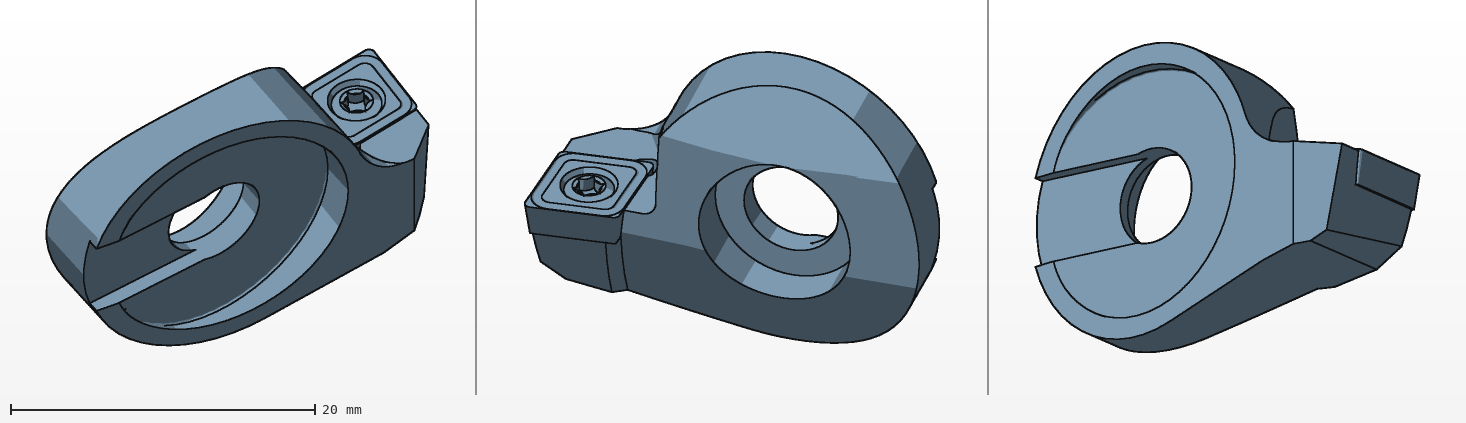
import cadquery as cq
import math

FAR = 40.28

ring_diameter = 20.0
ring_radius = ring_diameter / 2
front_curve_radius = 18.0
front_half_height = 13.42
counterbore_radius = 5.24
counterbore_floor_x = 3.55
bore_radius = 3.25
recess_radius = 8.57
recess_floor_x = 5.42
recess_fillet = 0.2
slot_width = 6.12
slot_floor_x = 4.38

back_x_at_axis = 6.65
back_angle = 8.8
holder_thickness = 8.38

blend_radius = 4.03
blend_floor_z = 0.5
arm_lower_corner = (14.45, -6.45)
arm_end_corner = (15.98, -5.0)

step_start_y = 10.65
nose_start_y = 11.46
nose_offset = 0.78
lead_angle = 5.0
clearance_angle = 7.0
end_face_point = (6.36, 16.05, 0.27)
corner_chamfer_y = 13.55

deck_tilt = 3.0
deck_cutter_radius = 11.12
deck_cutter_x = 0.1
deck_cutter_y = 19.33
deck_fillet = 0.95

insert_x = 1.83
insert_y = 13.4
insert_top_z = 0.21
inscribed_radius = 3.17
insert_thickness = 2.4
nose_angle = 80.0
nose_direction = 135.0
nose_radius = 0.4
land_width = 0.05
groove_width = 0.7
groove_depth = 0.15
groove_corner_radius = 0.97
relief_radius = 0.95
relief_x = 4.75
relief_y = 10.58
relief_rise = 1.35

hole_mouth_radius = 1.9
screw_top_depth = 0.08
head_radius = 1.66
head_rim_depth = 0.38
shank_radius = 1.24
head_cone_height = 0.8
screw_length = 5.37
socket_radius = 1.1
socket_depth = 0.95
socket_mouth_depth = 0.13
socket_mouth_floor_radius = 0.83
lobe_count = 6
lobe_inner_radius = 0.72


def place_on_seat(shape):
    """Move a shape from the insert frame (top centre at the origin) to its place on the arm."""
    tilted = shape.rotate((0, 0, 0), (0, 1, 0), -deck_tilt)
    return tilted.translate((insert_x, insert_y, insert_top_z))


def front_prism(start, end):
    """Solid behind the curved front, swept between two (X, Y) crest points."""
    sag = front_curve_radius - math.sqrt(front_curve_radius**2 - front_half_height**2)
    x, y = start
    profile = (
        cq.Workplane("XZ", origin=(0, y, 0))
        .moveTo(x + sag, front_half_height)
        .threePointArc((x, 0), (x + sag, -front_half_height))
        .lineTo(FAR, -front_half_height)
        .lineTo(FAR, front_half_height)
        .close()
    )
    face = cq.Face.makeFromWires(profile.val())
    sweep = cq.Vector(end[0] - x, end[1] - y, 0)
    return cq.Workplane(cq.Solid.extrudeLinear(face, sweep))


def curved_front():
    nose_run = ring_radius
    nose_end_x = -nose_offset - nose_run * math.tan(math.radians(lead_angle))
    crest = [
        (0, -2 * ring_radius),
        (0, step_start_y),
        (-nose_offset, nose_start_y),
        (nose_end_x, nose_start_y + nose_run),
    ]
    front = front_prism(crest[0], crest[1])
    for start, end in zip(crest[1:], crest[2:]):
        front = front.union(front_prism(start, end))
    return front


def side_outline():
    """Disc and arm outline in the YZ plane, extruded through the part."""
    blend_z = blend_floor_z + blend_radius
    blend_y = math.sqrt((ring_radius + blend_radius) ** 2 - blend_z**2)
    reach = ring_radius / (ring_radius + blend_radius)
    blend_start = (blend_y * reach, blend_z * reach)
    start_angle = math.pi + math.atan2(blend_z, blend_y)
    end_angle = 3 * math.pi / 2
    middle = (start_angle + end_angle) / 2
    blend_middle = (
        blend_y + blend_radius * math.cos(middle),
        blend_z + blend_radius * math.sin(middle),
    )
    corner_distance = math.hypot(*arm_lower_corner)
    tangent_angle = math.atan2(arm_lower_corner[1], arm_lower_corner[0]) - math.acos(
        ring_radius / corner_distance
    )
    tangent_point = (
        ring_radius * math.cos(tangent_angle),
        ring_radius * math.sin(tangent_angle),
    )
    return (
        cq.Workplane("YZ", origin=(-FAR / 2, 0, 0))
        .moveTo(*tangent_point)
        .threePointArc((-ring_radius, 0), blend_start)
        .threePointArc(blend_middle, (blend_y, blend_floor_z))
        .lineTo(FAR, blend_floor_z)
        .lineTo(FAR, arm_end_corner[1])
        .lineTo(*arm_end_corner)
        .lineTo(*arm_lower_corner)
        .close()
        .extrude(FAR)
    )


def plan_outline():
    """Limits of the part seen along Z: slanted back, flat +X side and chamfered corner."""
    back_slope = math.tan(math.radians(back_angle))
    slant_end_y = (holder_thickness - back_x_at_axis) / back_slope
    chamfer_slope = (end_face_point[1] - corner_chamfer_y) / (holder_thickness - end_face_point[0])
    return (
        cq.Workplane("XY", origin=(0, 0, -FAR / 2))
        .moveTo(-FAR, -FAR)
        .lineTo(back_x_at_axis - FAR * back_slope, -FAR)
        .lineTo(holder_thickness, slant_end_y)
        .lineTo(holder_thickness, corner_chamfer_y)
        .lineTo(holder_thickness - FAR, corner_chamfer_y + FAR * chamfer_slope)
        .lineTo(-FAR, FAR)
        .close()
        .extrude(FAR)
    )


def end_face_cutter():
    """Block beyond the end face, which follows the lead and clearance angles."""
    return (
        cq.Workplane("XY")
        .box(FAR, FAR, FAR, centered=(True, False, True))
        .rotate((0, 0, 0), (1, 0, 0), -clearance_angle)
        .rotate((0, 0, 0), (0, 0, 1), -lead_angle)
        .translate(end_face_point)
    )


def deck_cutter():
    """Round cutter with a filleted rim that leaves the deck and the wall behind it."""
    return (
        cq.Workplane("XY")
        .circle(deck_cutter_radius)
        .extrude(FAR)
        .faces("<Z")
        .edges()
        .fillet(deck_fillet)
        .rotate((0, 0, 0), (0, 1, 0), -deck_tilt)
        .translate((deck_cutter_x, deck_cutter_y, 0))
    )


def back_recess():
    return (
        cq.Workplane("YZ", origin=(recess_floor_x, 0, 0))
        .circle(recess_radius)
        .extrude(FAR)
        .faces("<X")
        .edges()
        .fillet(recess_fillet)
    )


def make_holder():
    holder = curved_front().intersect(side_outline()).intersect(plan_outline())
    holder = holder.cut(end_face_cutter()).cut(deck_cutter())

    bore = cq.Workplane("YZ").circle(bore_radius).extrude(FAR)
    counterbore = cq.Workplane("YZ").circle(counterbore_radius).extrude(counterbore_floor_x)
    slot = cq.Workplane("XY").box(FAR, FAR, slot_width, centered=(False, False, True))
    slot = slot.translate((slot_floor_x, -FAR, 0))
    holder = holder.cut(bore).cut(counterbore).cut(back_recess()).cut(slot)

    pocket = insert_blank().union(corner_relief())
    return holder.cut(place_on_seat(pocket)).cut(place_on_seat(screw_blank()))


def rhombus(inset, z, corner_radius):
    """Wire of a rounded rhombus, moved inwards by inset, with an acute corner at -X +Y."""
    half_angle = math.radians(nose_angle / 2)
    radius = inscribed_radius - inset
    acute = radius / math.sin(half_angle)
    obtuse = radius / math.cos(half_angle)
    corners = [(acute, 0), (0, obtuse), (-acute, 0), (0, -obtuse)]
    return (
        cq.Workplane("XY", origin=(0, 0, z))
        .polyline(corners)
        .close()
        .extrude(0.27)
        .edges("|Z")
        .fillet(corner_radius)
        .faces("<Z")
        .wires()
        .val()
        .rotate(cq.Vector(0, 0, 0), cq.Vector(0, 0, 1), nose_direction)
    )


def insert_blank():
    """Rhombic plate whose flanks and corners all lean inwards by the clearance angle."""
    taper = insert_thickness * math.tan(math.radians(clearance_angle))
    bottom = rhombus(taper, -insert_thickness, nose_radius - taper)
    top = rhombus(0, 0, nose_radius)
    return cq.Workplane(cq.Solid.makeLoft([bottom, top], True))


def corner_relief():
    """Round relief in the pocket corner, around the inner corner of the insert."""
    return (
        cq.Workplane("XY")
        .center(relief_x - insert_x, relief_y - insert_y)
        .circle(relief_radius)
        .extrude(relief_rise + insert_thickness)
        .translate((0, 0, -insert_thickness))
    )


def chip_groove():
    """Round-bottomed groove that runs all the way around, just inside the cutting edges."""
    tube_radius = (groove_width**2 / 4 + groove_depth**2) / (2 * groove_depth)
    tube_z = tube_radius - groove_depth
    path = rhombus(land_width + groove_width / 2, tube_z, groove_corner_radius)
    start = path.startPoint()
    section = cq.Workplane(cq.Plane(start, normal=path.tangentAt(0))).circle(tube_radius)
    return section.sweep(cq.Workplane(path), transition="round")


def make_insert():
    rim = cq.Vector(0, 0, -head_rim_depth)
    mouth = cq.Solid.makeCone(head_radius, hole_mouth_radius, head_rim_depth, rim)
    insert = insert_blank().cut(chip_groove()).cut(cq.Workplane(mouth))
    return place_on_seat(insert).cut(place_on_seat(screw_blank()))


def screw_blank():
    """Countersunk screw with a raised conical top, without its socket."""
    seat_z = -head_rim_depth - head_cone_height
    return (
        cq.Workplane("XZ")
        .polyline(
            [
                (0, -screw_top_depth),
                (socket_radius, -screw_top_depth),
                (head_radius, -head_rim_depth),
                (shank_radius, seat_z),
                (shank_radius, -screw_length),
                (0, -screw_length),
            ]
        )
        .close()
        .revolve(360, (0, 0, 0), (0, 1, 0))
    )


def star_socket():
    """Six-lobed socket with a coned mouth."""
    step = 2 * math.pi / lobe_count
    socket = cq.Workplane("XY", origin=(0, 0, -screw_top_depth)).moveTo(socket_radius, 0)
    for lobe in range(lobe_count):
        valley = (lobe + 0.5) * step
        tip = (lobe + 1) * step
        socket = socket.threePointArc(
            (lobe_inner_radius * math.cos(valley), lobe_inner_radius * math.sin(valley)),
            (socket_radius * math.cos(tip), socket_radius * math.sin(tip)),
        )
    socket = socket.close().extrude(-socket_depth)
    mouth_floor = cq.Vector(0, 0, -screw_top_depth - socket_mouth_depth)
    mouth = cq.Solid.makeCone(
        socket_mouth_floor_radius, socket_radius, socket_mouth_depth, mouth_floor
    )
    return socket.union(cq.Workplane(mouth))


def make_screw():
    return place_on_seat(screw_blank().cut(star_socket()))


holder = make_holder().solids()
insert = make_insert().solids()
screw = make_screw().solids()

result = cq.Compound.makeCompound([holder.val(), insert.val(), screw.val()])